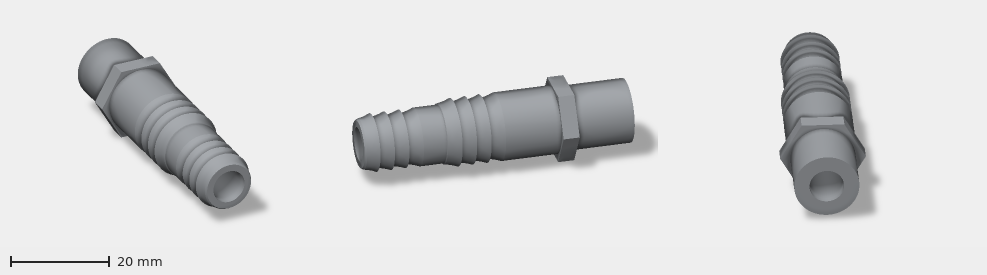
import cadquery as cq
import math

total_length = 56.0
hex_start = 12.05
hex_width = 3.35
barb_pitch = 3.0
barbs_per_group = 4
barb_back_length = 0.15
tip_chamfer_length = 0.45
neck_length = 4.8

bore_diameter = 7.0
spigot_diameter = 13.2
body_diameter = 14.0
neck_diameter = 12.0
hex_across_flats = 15.0
barb_drop = 0.8
barb_hollow = 0.1
tip_chamfer_depth = 0.3

group_length = barbs_per_group * barb_pitch
small_group_start = total_length - group_length
large_group_end = small_group_start - neck_length
large_group_start = large_group_end - group_length


def add_barb(profile, start, crest_radius, back_length):
    """Draw a slightly hollow slope from the crest to the root of one barb."""
    slope_end = start + barb_pitch - back_length
    root_radius = crest_radius - barb_drop
    middle = ((start + slope_end) / 2, crest_radius - barb_drop / 2 - barb_hollow)
    return profile.threePointArc(middle, (slope_end, root_radius))


def add_barb_group(profile, group_start, crest_radius, end_radius, last_back_length):
    """Draw a row of barbs whose last back face meets end_radius."""
    for index in range(barbs_per_group):
        is_last = index == barbs_per_group - 1
        start = group_start + index * barb_pitch
        back_length = last_back_length if is_last else barb_back_length
        next_radius = end_radius if is_last else crest_radius
        profile = add_barb(profile, start, crest_radius, back_length)
        profile = profile.lineTo(start + barb_pitch, next_radius)
    return profile


def make_turned_body():
    """Revolve the spigot, body, neck and both barb groups about the X axis."""
    spigot_radius = spigot_diameter / 2
    body_radius = body_diameter / 2
    neck_radius = neck_diameter / 2
    tip_radius = neck_radius - barb_drop - tip_chamfer_depth
    step_position = hex_start + hex_width / 2

    profile = (
        cq.Workplane("XY")
        .lineTo(0, spigot_radius)
        .lineTo(step_position, spigot_radius)
        .lineTo(step_position, body_radius)
        .lineTo(large_group_start, body_radius)
    )
    profile = add_barb_group(profile, large_group_start, body_radius, neck_radius, barb_back_length)
    profile = profile.lineTo(small_group_start, neck_radius)
    profile = add_barb_group(profile, small_group_start, neck_radius, tip_radius, tip_chamfer_length)
    return profile.lineTo(total_length, 0).close().revolve(360, (0, 0, 0), (1, 0, 0))


def make_hexagon():
    """Wrench hexagon with corners along Y and flats facing up and down."""
    across_corners = hex_across_flats / math.cos(math.pi / 6)
    return cq.Workplane("YZ").workplane(offset=hex_start).polygon(6, across_corners).extrude(hex_width)


bore = cq.Workplane("YZ").circle(bore_diameter / 2).extrude(total_length)
result = make_turned_body().union(make_hexagon()).cut(bore)